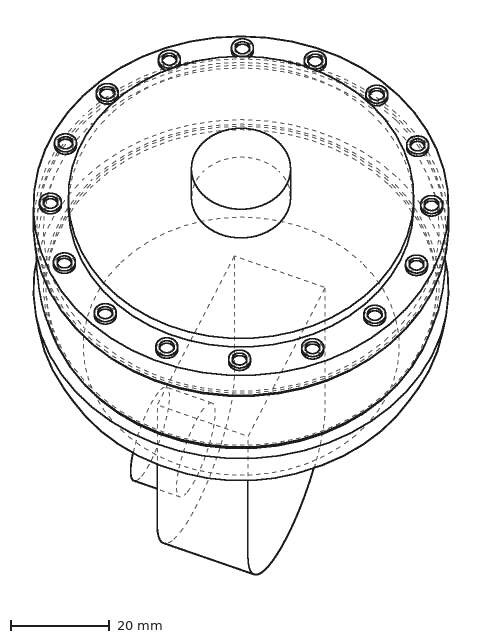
import cadquery as cq
import math

total_height = 124.0
shaft_length = 10.0
cap_height = 3.0
flange_height = 7.0
lip_height = 1.2
barrel_height = 19.7
bowl_height = 20.0

shaft_radius = 10.0
cap_radius = 35.0
flange_radius = 42.0
lip_radius = 41.4
neck_radius = 39.5
barrel_end_radius = 40.0
barrel_middle_radius = 41.4
bowl_bottom_radius = 32.0

screw_count = 16
screw_circle_radius = 38.6
screw_radius = 2.2
screw_height = 0.9
socket_radius = 1.5

arm_thickness = 20.0
arm_width = 40.0
pin_radius = 10.0
pin_length = 10.0

cap_top = total_height - shaft_length
flange_top = cap_top - cap_height
flange_bottom = flange_top - flange_height
barrel_top = flange_bottom - lip_height
barrel_bottom = barrel_top - barrel_height
bowl_top = barrel_bottom - lip_height
bowl_bottom = bowl_top - bowl_height

bowl_inset = flange_radius - bowl_bottom_radius
bowl_arc_radius = (bowl_inset**2 + bowl_height**2) / (2 * bowl_inset)
bowl_half_angle = math.asin(bowl_height / bowl_arc_radius) / 2
bowl_middle = (
    flange_radius - bowl_arc_radius * (1 - math.cos(bowl_half_angle)),
    bowl_top - bowl_arc_radius * math.sin(bowl_half_angle),
)


def make_body():
    """Shaft, cap, flange, barrel and bowl as one revolved half profile."""
    return (
        cq.Workplane("XZ")
        .moveTo(0, bowl_bottom)
        .lineTo(bowl_bottom_radius, bowl_bottom)
        .threePointArc(bowl_middle, (flange_radius, bowl_top))
        .lineTo(neck_radius, bowl_top)
        .lineTo(neck_radius, barrel_bottom)
        .lineTo(barrel_end_radius, barrel_bottom)
        .threePointArc(
            (barrel_middle_radius, (barrel_bottom + barrel_top) / 2),
            (barrel_end_radius, barrel_top),
        )
        .lineTo(lip_radius, barrel_top)
        .lineTo(lip_radius, flange_bottom)
        .lineTo(flange_radius, flange_bottom)
        .lineTo(flange_radius, flange_top)
        .lineTo(cap_radius, flange_top)
        .lineTo(cap_radius, cap_top)
        .lineTo(shaft_radius, cap_top)
        .lineTo(shaft_radius, total_height)
        .lineTo(0, total_height)
        .close()
        .revolve(360, (0, 0, 0), (0, 1, 0))
    )


def make_screws():
    """Ring of round screw heads, each with a round socket as deep as the head."""
    return (
        cq.Workplane("XY", origin=(0, 0, flange_top))
        .polarArray(screw_circle_radius, 0, 360, screw_count)
        .circle(screw_radius)
        .circle(socket_radius)
        .extrude(screw_height)
    )


def make_arm():
    """Flat arm with a rounded lower end, centred under the body."""
    half_width = arm_width / 2
    return (
        cq.Workplane("YZ")
        .moveTo(-half_width, bowl_bottom)
        .lineTo(-half_width, half_width)
        .threePointArc((0, 0), (half_width, half_width))
        .lineTo(half_width, bowl_bottom)
        .close()
        .extrude(arm_thickness / 2, both=True)
    )


def make_pin():
    """Pin on the -X face of the arm, concentric with its rounded end."""
    return (
        cq.Workplane("YZ", origin=(-arm_thickness / 2, 0, arm_width / 2))
        .circle(pin_radius)
        .extrude(-pin_length)
    )


result = make_body().union(make_screws()).union(make_arm()).union(make_pin())